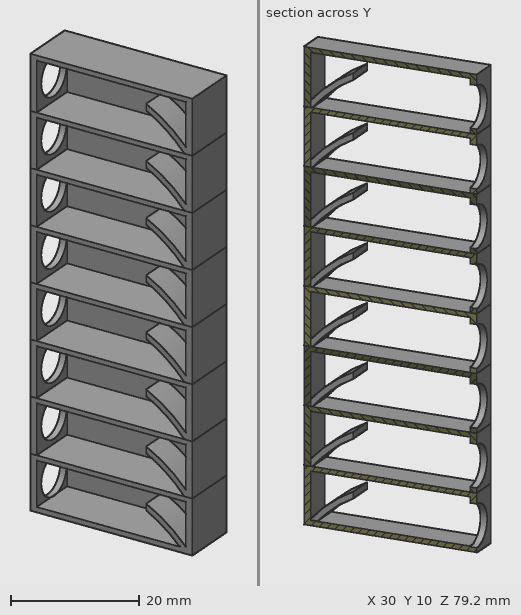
import cadquery as cq
import math

LENGTH = 30.0
DEPTH = 10.0
STACK_HEIGHT = 79.2
BLOCK_COUNT = 8
PITCH = STACK_HEIGHT / BLOCK_COUNT

SIDE_WALL = 1.2
BACK_WALL = 1.2
ROOF = 0.9
BASE_FLOOR = 0.95

WINDOW_DIAMETER = 7.2
WINDOW_CENTER_Z = 4.4

ARCH_OUTER_RADIUS = 25.0
ARCH_THICKNESS = 1.0
ARCH_INNER_RADIUS = ARCH_OUTER_RADIUS - ARCH_THICKNESS
ARCH_CENTER_X = 10.3
ARCH_CENTER_Z = -15.6
ARCH_START_X = 21.5
ARCH_DEPTH = DEPTH / 2


def arch_height(radius, x):
    """Height of an arch surface of the given radius at position x."""
    return ARCH_CENTER_Z + math.sqrt(radius ** 2 - (x - ARCH_CENTER_X) ** 2)


def make_frame(floor):
    """Block open at the front, with a floor of the given thickness (zero leaves it open below)."""
    cavity = cq.Workplane("XY").box(
        LENGTH - 2 * SIDE_WALL, DEPTH - BACK_WALL, PITCH - ROOF - floor, centered=False
    ).translate((SIDE_WALL, 0, floor))
    return cq.Workplane("XY").box(LENGTH, DEPTH, PITCH, centered=False).cut(cavity)


def make_window():
    """Cylinder that pierces the left wall."""
    return (
        cq.Workplane("YZ")
        .center(DEPTH / 2, WINDOW_CENTER_Z)
        .circle(WINDOW_DIAMETER / 2)
        .extrude(SIDE_WALL)
    )


def make_arch():
    """Curved overhang that falls from its free end to the foot of the right wall."""
    end_x = LENGTH - SIDE_WALL / 2
    middle_x = (ARCH_START_X + end_x) / 2

    def outer(x):
        return (x, arch_height(ARCH_OUTER_RADIUS, x))

    def inner(x):
        return (x, arch_height(ARCH_INNER_RADIUS, x))

    ring = (
        cq.Workplane("XZ")
        .moveTo(*inner(ARCH_START_X))
        .lineTo(*outer(ARCH_START_X))
        .threePointArc(outer(middle_x), outer(end_x))
        .lineTo(*inner(end_x))
        .threePointArc(inner(middle_x), inner(ARCH_START_X))
        .close()
        .extrude(-ARCH_DEPTH)
    )
    block_space = cq.Workplane("XY").box(LENGTH, DEPTH, PITCH, centered=False)
    return ring.intersect(block_space)


def make_block(floor):
    """One complete block: frame, window and arched overhang."""
    return make_frame(floor).cut(make_window()).union(make_arch())


base_block = make_block(BASE_FLOOR)
upper_block = make_block(0)

blocks = [base_block.val()]
for level in range(1, BLOCK_COUNT):
    blocks.append(upper_block.translate((0, 0, level * PITCH)).val())

result = cq.Compound.makeCompound(blocks)